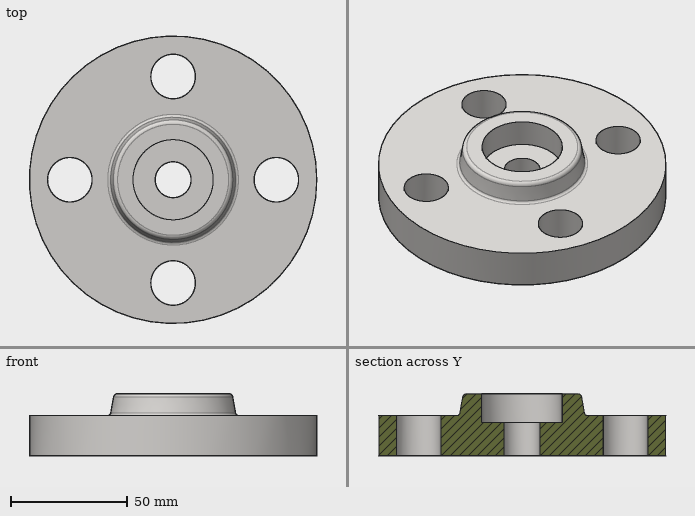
import cadquery as cq
import math

flange_diameter = 123.9
flange_thickness = 17.5
total_height = 26.9

hub_base_diameter = 54.3
hub_draft_angle = 10.0
hub_top_round = 1.9
hub_root_fillet = 1.2

bore_diameter = 15.4
socket_diameter = 34.6
socket_depth = 12.4

bolt_count = 4
bolt_circle_diameter = 89.0
bolt_hole_diameter = 19.1


def make_body():
    """Revolve the disc and hub together, with the hub's root and top edge rounded."""
    hub_height = total_height - flange_thickness
    base_radius = hub_base_diameter / 2
    top_radius = base_radius - hub_height * math.tan(math.radians(hub_draft_angle))
    half_profile = (
        cq.Workplane("XZ")
        .lineTo(flange_diameter / 2, 0)
        .lineTo(flange_diameter / 2, flange_thickness)
        .lineTo(base_radius, flange_thickness)
        .lineTo(top_radius, total_height)
        .lineTo(0, total_height)
        .close()
    )
    body = half_profile.revolve(360, (0, 0, 0), (0, 1, 0))
    body = body.faces(">Z").edges().fillet(hub_top_round)
    hub_root = cq.selectors.RadiusNthSelector(-2)
    return body.edges("%CIRCLE").edges(hub_root).fillet(hub_root_fillet)


def cut_stepped_bore(body):
    """Cut the through bore and the wider socket at the hub end."""
    return body.faces(">Z").workplane().cboreHole(
        bore_diameter, socket_diameter, socket_depth
    )


def cut_bolt_holes(body):
    """Cut the ring of through holes, the first one on the X axis."""
    holes = (
        cq.Workplane("XY")
        .polarArray(bolt_circle_diameter / 2, 0, 360, bolt_count)
        .circle(bolt_hole_diameter / 2)
        .extrude(flange_thickness)
    )
    return body.cut(holes)


result = cut_bolt_holes(cut_stepped_bore(make_body()))